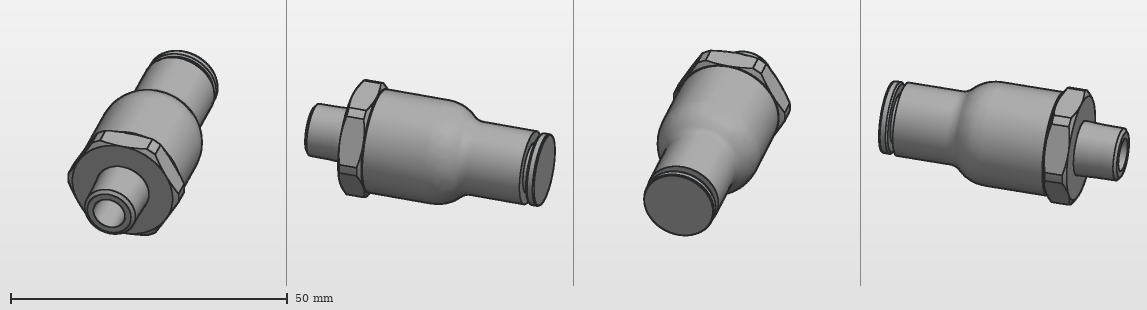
import cadquery as cq
import math

stud_tip_chamfer_end = 0.55
stud_mid_line = 4.05
hex_front = 7.88
hex_back = 12.28
body_start = 12.5
body_end = 24.3
sleeve_start = 31.25
sleeve_end = 41.3
collar_start = 42.35
total_length = 44.0

bore_radius = 3.0
stud_tip_radius = 4.15
stud_front_radius = 4.8
stud_mid_radius = 4.85
stud_root_radius = 5.0
hex_across_flats = 19.0
hex_corner_radius = 10.495
hex_chamfer_angle = 30.0
body_radius = 9.5
body_edge_radius = 9.35
sleeve_radius = 6.75
neck_radius = 4.6
collar_radius = 6.6
collar_inner_chamfer = 0.35
collar_outer_chamfer_depth = 0.15
collar_outer_chamfer_length = 0.25
bore_depth = hex_front

shoulder_length = sleeve_start - body_end
shoulder_turn = 2 * math.atan((body_radius - sleeve_radius) / shoulder_length)
concave_length = 2.1
convex_length = shoulder_length - concave_length
concave_arc_radius = concave_length / math.sin(shoulder_turn)
convex_arc_radius = convex_length / math.sin(shoulder_turn)


def revolve_about_y(profile):
    return profile.close().revolve(360, (0, 0, 0), (0, 1, 0))


def convex_point(angle):
    """Point on the convex shoulder arc after turning by angle from the body."""
    return (
        body_radius - convex_arc_radius * (1 - math.cos(angle)),
        body_end + convex_arc_radius * math.sin(angle),
    )


def concave_point(angle):
    """Point on the concave shoulder arc at angle from the sleeve."""
    return (
        sleeve_radius + concave_arc_radius * (1 - math.cos(angle)),
        sleeve_start - concave_arc_radius * math.sin(angle),
    )


def make_turned_body():
    profile = (
        cq.Workplane("XY")
        .moveTo(0, 0)
        .lineTo(stud_tip_radius, 0)
        .lineTo(stud_front_radius, stud_tip_chamfer_end)
        .lineTo(stud_mid_radius, stud_mid_line)
        .lineTo(stud_root_radius, hex_front)
        .lineTo(body_edge_radius, hex_front)
        .lineTo(body_edge_radius, hex_back)
        .lineTo(body_radius, body_start)
        .lineTo(body_radius, body_end)
        .threePointArc(convex_point(shoulder_turn / 2), convex_point(shoulder_turn))
        .threePointArc(concave_point(shoulder_turn / 2), (sleeve_radius, sleeve_start))
        .lineTo(sleeve_radius, sleeve_end)
        .lineTo(neck_radius, sleeve_end)
        .lineTo(neck_radius, collar_start)
        .lineTo(collar_radius - collar_inner_chamfer, collar_start)
        .lineTo(collar_radius, collar_start + collar_inner_chamfer)
        .lineTo(collar_radius, total_length - collar_outer_chamfer_length)
        .lineTo(collar_radius - collar_outer_chamfer_depth, total_length)
        .lineTo(0, total_length)
    )
    return revolve_about_y(profile)


def make_hex():
    """Hexagon with flats facing +Z and -Z, its corners turned round and chamfered."""
    circumscribed_diameter = hex_across_flats / math.cos(math.pi / 6)
    prism = (
        cq.Workplane("XZ", origin=(0, hex_back, 0))
        .polygon(6, circumscribed_diameter)
        .extrude(hex_back - hex_front)
    )
    face_radius = hex_across_flats / 2
    chamfer_length = (hex_corner_radius - face_radius) * math.tan(math.radians(hex_chamfer_angle))
    turned_blank = revolve_about_y(
        cq.Workplane("XY")
        .moveTo(0, hex_front)
        .lineTo(face_radius, hex_front)
        .lineTo(hex_corner_radius, hex_front + chamfer_length)
        .lineTo(hex_corner_radius, hex_back - chamfer_length)
        .lineTo(face_radius, hex_back)
        .lineTo(0, hex_back)
    )
    return prism.intersect(turned_blank)


def make_bore():
    """Blind bore entering from the stud tip."""
    return cq.Workplane("XZ", origin=(0, bore_depth, 0)).circle(bore_radius).extrude(bore_depth)


result = make_turned_body().union(make_hex()).cut(make_bore())